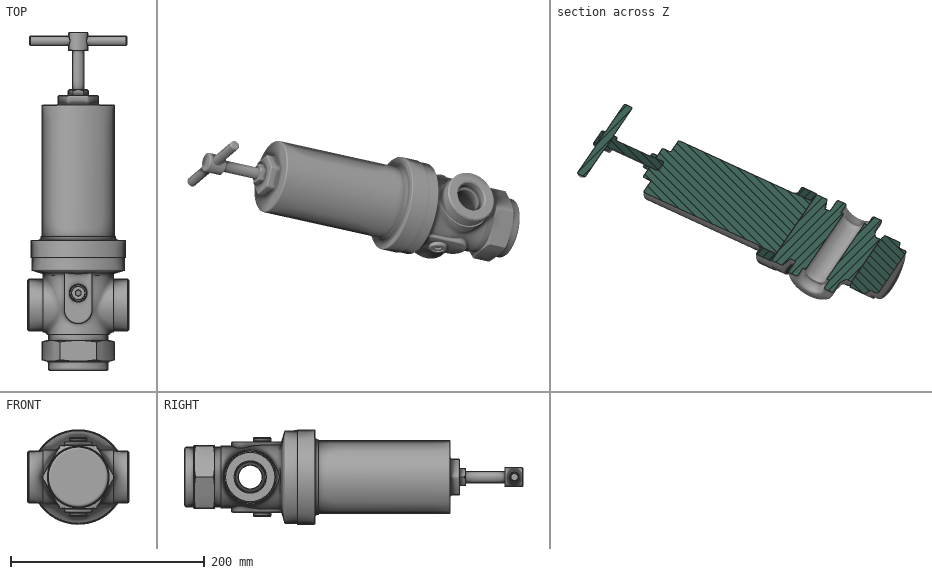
import cadquery as cq
import math


BOTTOM_END_Y = -68.0
CAP_HEX_BOTTOM_Y = -58.0
CAP_HEX_TOP_Y = -36.9
NECK_TOP_Y = -30.3
BULGE_END_Y = -20.0
BULGE_START_Y = 12.6
FLANGE_FOOT_Y = 30.8
FLANGE_BOTTOM_Y = 36.0
FLANGE_JOINT_Y = 49.2
RING_SHOULDER_Y = 67.0
RING_TOP_Y = 70.8
BONNET_TOP_Y = 207.2
BOSS_TOP_Y = 217.0
JAM_NUT_TOP_Y = 223.2
HUB_BOTTOM_Y = 263.9
HANDLE_TOP_Y = 282.5

NECK_RADIUS = 31.0
LOWER_BODY_RADIUS = 32.0
UPPER_BODY_RADIUS = 36.0
BODY_FLANGE_RADIUS = 48.0
FLANGE_EDGE_FILLET = 1.0
FLANGE_UNDERSIDE_RADIUS = 37.8
FLANGE_UNDERSIDE_Y = 33.0

PORT_LENGTH = 52.5
PORT_RADIUS = 26.8
PORT_CHAMFER = 1.3
PORT_SHOULDER_X = 36.6
PORT_SHOULDER_RADIUS = 28.0
PORT_BLEND_FILLET = 4.5
PORT_BORE_RADIUS = 15.5
PORT_BORE_CHAMFER = 1.2
PORT_BORE_DEPTH = 12.0
PASSAGE_RADIUS = 12.3

PAD_HEIGHT_Z = 36.5
PAD_HALF_WIDTH = 14.3
PAD_ROUND_CENTRE_Y = -5.0
PAD_EDGE_FILLET = 1.5

PLUG_Y = 12.4
PLUG_HEAD_RADIUS = 9.2
PLUG_HEAD_HEIGHT = 4.4
PLUG_CHAMFER = 0.8
PLUG_STEM_RADIUS = 6.5
PLUG_STEM_LENGTH = 8.0
PLUG_RECESS_RADIUS = 6.9
PLUG_RECESS_DEPTH = 0.8
PLUG_SOCKET_FLATS = 6.0
PLUG_SOCKET_DEPTH = 3.0

CAP_FLATS = 65.0
CAP_END_FILLET = 2.6
CAP_COLLAR_HEIGHT = 0.8
CAP_COLLAR_RADIUS = 32.0
CAP_CHAMFER_RADIUS = 33.0
CAP_CHAMFER_HEIGHT = 1.3

RING_RADIUS = 48.96
RING_EDGE_FILLET = 1.0
RING_COLLAR_RADIUS = 38.6
RING_COLLAR_FILLET = 3.0

BONNET_RADIUS = 37.8
BONNET_EDGE_FILLET = 1.5
BOSS_FLATS = 37.2
BOSS_CORNER_FILLET = 3.2
BOSS_TOP_FILLET = 1.5
BOSS_FOOT_FILLET = 1.6

JAM_NUT_FLATS = 18.0
JAM_NUT_CHAMFER = 1.2
SPINDLE_RADIUS = 6.0
HUB_RADIUS = 10.0
HUB_FILLET = 1.5
BAR_RADIUS = 5.0
BAR_LENGTH = 101.0
BAR_CHAMFER = 1.2
BAR_Y = 273.7

FUSE_OVERLAP = 1.0


def cylinder_y(radius, start_y, end_y):
    """Cylinder on the Y axis between two Y positions."""
    return cq.Workplane("XZ", origin=(0, start_y, 0)).circle(radius).extrude(start_y - end_y)


def cylinder_x(radius, start_x, end_x):
    """Cylinder on the port axis between two X positions."""
    return cq.Workplane("YZ", origin=(start_x, 0, 0)).circle(radius).extrude(end_x - start_x)


def corner_radius(flats):
    """Centre-to-corner distance of a hexagon with the given width across flats."""
    return flats / 2 / math.cos(math.pi / 6)


def hexagon_y(flats, start_y, end_y):
    """Hexagonal prism along Y with two flats facing +Z and -Z."""
    plane = cq.Workplane("XZ", origin=(0, start_y, 0))
    return plane.polygon(6, 2 * corner_radius(flats)).extrude(start_y - end_y)


def revolve_y(profile):
    """Revolve a closed radius-height profile about the Y axis."""
    return profile.close().revolve(360, (0, 0, 0), (0, 1, 0))


def on_y_plane(y, half_extent):
    """Selector for edges that lie wholly on the plane at y, within half_extent of the axis."""
    tolerance = 0.1
    return cq.selectors.BoxSelector(
        (-half_extent, y - tolerance, -half_extent),
        (half_extent, y + tolerance, half_extent),
        boundingbox=True,
    )


def make_body_core():
    """Barrel that swells smoothly from the lower to the upper radius."""
    mid_radius = (LOWER_BODY_RADIUS + UPPER_BODY_RADIUS) / 2
    mid_y = (BULGE_END_Y + BULGE_START_Y) / 2
    profile = (
        cq.Workplane("XY")
        .moveTo(0, NECK_TOP_Y)
        .lineTo(LOWER_BODY_RADIUS, NECK_TOP_Y)
        .lineTo(LOWER_BODY_RADIUS, BULGE_END_Y)
        .tangentArcPoint((mid_radius, mid_y), relative=False)
        .tangentArcPoint((UPPER_BODY_RADIUS, BULGE_START_Y), relative=False)
        .lineTo(UPPER_BODY_RADIUS, FLANGE_BOTTOM_Y)
        .lineTo(0, FLANGE_BOTTOM_Y)
    )
    return revolve_y(profile)


def make_body_flange():
    """Flange with a sloped underside and a rounded foot onto the barrel."""
    profile = (
        cq.Workplane("XY")
        .moveTo(0, FLANGE_JOINT_Y)
        .lineTo(BODY_FLANGE_RADIUS, FLANGE_JOINT_Y)
        .lineTo(BODY_FLANGE_RADIUS, FLANGE_BOTTOM_Y)
        .lineTo(FLANGE_UNDERSIDE_RADIUS, FLANGE_UNDERSIDE_Y)
        .tangentArcPoint((UPPER_BODY_RADIUS, FLANGE_FOOT_Y), relative=False)
        .lineTo(0, FLANGE_FOOT_Y)
    )
    flange = revolve_y(profile)
    for rim_y in (FLANGE_BOTTOM_Y, FLANGE_JOINT_Y):
        flange = flange.edges(on_y_plane(rim_y, BODY_FLANGE_RADIUS + 1)).fillet(FLANGE_EDGE_FILLET)
    return flange


def make_pad():
    """Flat gauge pad reaching from the body axis to +Z, rounded at its lower end."""
    pad = (
        cq.Workplane("XY")
        .moveTo(-PAD_HALF_WIDTH, FLANGE_BOTTOM_Y)
        .lineTo(-PAD_HALF_WIDTH, PAD_ROUND_CENTRE_Y)
        .threePointArc((0, PAD_ROUND_CENTRE_Y - PAD_HALF_WIDTH), (PAD_HALF_WIDTH, PAD_ROUND_CENTRE_Y))
        .lineTo(PAD_HALF_WIDTH, FLANGE_BOTTOM_Y)
        .close()
        .extrude(PAD_HEIGHT_Z)
    )
    return pad.faces(">Z").edges("not >Y").fillet(PAD_EDGE_FILLET)


def make_port_bore(end_x):
    """Cutter for one port: bore with a chamfered mouth, opening at end_x."""
    inward = -math.copysign(1, end_x)
    bore = cylinder_x(PORT_BORE_RADIUS, end_x, end_x + inward * PORT_BORE_DEPTH)
    mouth_profile = (
        cq.Workplane("XY")
        .moveTo(end_x, 0)
        .lineTo(end_x, PORT_BORE_RADIUS + PORT_BORE_CHAMFER)
        .lineTo(end_x + inward * PORT_BORE_CHAMFER, PORT_BORE_RADIUS)
        .lineTo(end_x + inward * PORT_BORE_CHAMFER, 0)
        .close()
    )
    return bore.union(mouth_profile.revolve(360, (0, 0, 0), (1, 0, 0)))


def make_body():
    """Barrel with flange, neck, two ports, two gauge pads and their bores."""
    core = make_body_core()
    shoulder = cylinder_x(PORT_SHOULDER_RADIUS, -PORT_LENGTH, PORT_LENGTH)
    core = core.union(shoulder)
    core = core.edges("not(%CIRCLE or %LINE)").fillet(PORT_BLEND_FILLET)
    shoulder_limits = cq.Workplane("XY").box(2 * PORT_SHOULDER_X, 2 * PORT_LENGTH, 2 * PORT_LENGTH)
    body = core.intersect(shoulder_limits)

    pad = make_pad()
    body = body.union(pad).union(pad.mirror("XY"))
    body = body.union(make_body_flange())
    body = body.union(cylinder_y(NECK_RADIUS, CAP_HEX_TOP_Y, NECK_TOP_Y + FUSE_OVERLAP))

    ports = cylinder_x(PORT_RADIUS, -PORT_LENGTH, PORT_LENGTH).faces("<X or >X").chamfer(PORT_CHAMFER)
    body = body.union(ports)

    for end_x in (-PORT_LENGTH, PORT_LENGTH):
        body = body.cut(make_port_bore(end_x))
    body = body.cut(cylinder_x(PASSAGE_RADIUS, -PORT_LENGTH, PORT_LENGTH))

    for side in (1, -1):
        body = body.cut(place_plug(make_plug_stem(), side))
    return body


def make_plug_stem():
    """Stem of a gauge plug, hanging below a seat at Z = 0."""
    return cq.Workplane("XY").circle(PLUG_STEM_RADIUS).extrude(-PLUG_STEM_LENGTH)


def make_plug():
    """Round-headed plug with a recessed top and a hexagonal socket, seated at Z = 0."""
    head = cq.Workplane("XY").circle(PLUG_HEAD_RADIUS).extrude(PLUG_HEAD_HEIGHT)
    head = head.faces("<Z or >Z").chamfer(PLUG_CHAMFER)
    recess = (
        cq.Workplane("XY", origin=(0, 0, PLUG_HEAD_HEIGHT))
        .circle(PLUG_RECESS_RADIUS)
        .extrude(-PLUG_RECESS_DEPTH)
    )
    socket = (
        cq.Workplane("XY", origin=(0, 0, PLUG_HEAD_HEIGHT))
        .transformed(rotate=(0, 0, 90))
        .polygon(6, 2 * corner_radius(PLUG_SOCKET_FLATS))
        .extrude(-PLUG_SOCKET_DEPTH)
    )
    return head.union(make_plug_stem()).cut(recess).cut(socket)


def place_plug(part, side):
    """Move a part built on the Z = 0 seat onto the pad on the given Z side."""
    turned = part if side > 0 else part.rotate((0, 0, 0), (0, 1, 0), 180)
    return turned.translate((0, PLUG_Y, side * PAD_HEIGHT_Z))


def make_bottom_cap():
    """Hexagonal cap, chamfered at both ends, with a collar and a round end below it."""
    hexagon = hexagon_y(CAP_FLATS, CAP_HEX_BOTTOM_Y, CAP_HEX_TOP_Y)
    cap_corner = corner_radius(CAP_FLATS)
    envelope = cylinder_y(cap_corner, CAP_HEX_BOTTOM_Y, CAP_HEX_TOP_Y)
    envelope = envelope.faces("<Y or >Y").chamfer(CAP_CHAMFER_HEIGHT, cap_corner - CAP_CHAMFER_RADIUS)
    end = cylinder_y(NECK_RADIUS, BOTTOM_END_Y, CAP_HEX_TOP_Y).faces("<Y").fillet(CAP_END_FILLET)
    collar = cylinder_y(CAP_COLLAR_RADIUS, CAP_HEX_BOTTOM_Y - CAP_COLLAR_HEIGHT, CAP_HEX_TOP_Y)
    return hexagon.intersect(envelope).union(collar).union(end)


def make_clamp_ring():
    """Ring around the foot of the bonnet, with a flared collar on its upper side."""
    profile = (
        cq.Workplane("XY")
        .moveTo(BONNET_RADIUS, RING_TOP_Y)
        .lineTo(RING_COLLAR_RADIUS, RING_TOP_Y)
        .lineTo(RING_COLLAR_RADIUS, RING_SHOULDER_Y)
        .lineTo(RING_RADIUS, RING_SHOULDER_Y)
        .lineTo(RING_RADIUS, FLANGE_JOINT_Y)
        .lineTo(BONNET_RADIUS, FLANGE_JOINT_Y)
    )
    ring = revolve_y(profile)
    ring = ring.edges(on_y_plane(RING_SHOULDER_Y, RING_COLLAR_RADIUS + 1)).fillet(RING_COLLAR_FILLET)
    return ring.edges(on_y_plane(RING_SHOULDER_Y, RING_RADIUS + 1)).edges(">X").fillet(RING_EDGE_FILLET)


def make_bonnet():
    """Spring housing with a hexagonal boss on its end, drilled for the spindle."""
    barrel = cylinder_y(BONNET_RADIUS, FLANGE_JOINT_Y, BONNET_TOP_Y).faces(">Y").fillet(BONNET_EDGE_FILLET)
    boss = hexagon_y(BOSS_FLATS, BONNET_TOP_Y - FUSE_OVERLAP, BOSS_TOP_Y)
    boss = boss.edges("|Y").fillet(BOSS_CORNER_FILLET)
    boss = boss.faces(">Y").edges().fillet(BOSS_TOP_FILLET)
    bonnet = barrel.union(boss)
    bonnet = bonnet.edges(on_y_plane(BONNET_TOP_Y, corner_radius(BOSS_FLATS) + 1)).fillet(BOSS_FOOT_FILLET)
    return bonnet.cut(cylinder_y(SPINDLE_RADIUS, BONNET_TOP_Y, BOSS_TOP_Y))


def make_jam_nut():
    """Hexagonal nut on the spindle, chamfered on its outer end."""
    hexagon = hexagon_y(JAM_NUT_FLATS, BOSS_TOP_Y, JAM_NUT_TOP_Y)
    envelope = cylinder_y(corner_radius(JAM_NUT_FLATS), BOSS_TOP_Y, JAM_NUT_TOP_Y)
    envelope = envelope.faces(">Y").chamfer(JAM_NUT_CHAMFER)
    return hexagon.intersect(envelope).cut(cylinder_y(SPINDLE_RADIUS, BOSS_TOP_Y, JAM_NUT_TOP_Y))


def make_spindle():
    """Adjusting spindle with a cross-drilled hub at its outer end."""
    hub = cylinder_y(HUB_RADIUS, HUB_BOTTOM_Y, HANDLE_TOP_Y).faces(">Y").fillet(HUB_FILLET)
    rod = cylinder_y(SPINDLE_RADIUS, BONNET_TOP_Y, HUB_BOTTOM_Y)
    cross_hole = cylinder_x(BAR_RADIUS, -HUB_RADIUS, HUB_RADIUS).translate((0, BAR_Y, 0))
    return hub.union(rod).cut(cross_hole)


def make_handle_bar():
    """Round bar through the spindle hub, chamfered at both ends."""
    bar = cylinder_x(BAR_RADIUS, -BAR_LENGTH / 2, BAR_LENGTH / 2)
    return bar.faces("<X or >X").chamfer(BAR_CHAMFER).translate((0, BAR_Y, 0))


body = make_body()
bottom_cap = make_bottom_cap()
clamp_ring = make_clamp_ring()
bonnet = make_bonnet()
jam_nut = make_jam_nut()
spindle = make_spindle()
handle_bar = make_handle_bar()
gauge_plugs = [place_plug(make_plug(), side) for side in (1, -1)]

result = cq.Compound.makeCompound(
    [
        body.val(),
        bottom_cap.val(),
        clamp_ring.val(),
        bonnet.val(),
        jam_nut.val(),
        spindle.val(),
        handle_bar.val(),
        *[plug.val() for plug in gauge_plugs],
    ]
)